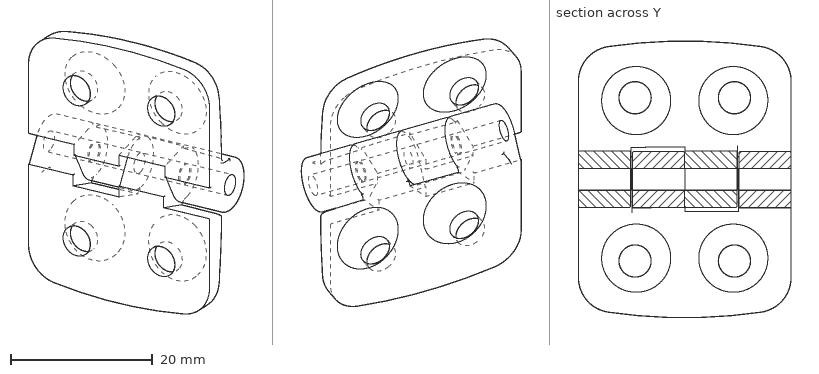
import cadquery as cq
import math

leaf_width = 30.0
half_width = leaf_width / 2
leaf_reach = 19.5
end_radius = 75.0
corner_radius = 5.0

crown_height = 5.1
crown_start = 4.0
crown_radius_along = 85.0
crown_radius_across = 210.0
side_round = 2.0
end_round = 1.0
blend_sweep = math.radians(16)

hole_diameter = 4.5
countersink_angle = math.radians(90)
shank_length = 2.0
hole_offset_x = 7.0
hole_offset_z = 11.5

knuckle_radius = 4.0
axis_height = 5.5
bore_diameter = 3.0
knuckle_gap = 0.2
knuckle_width = (half_width - knuckle_gap) / 2
flank_angle = math.radians(30)
knuckle_edge_round = 0.3
root_fillet = 0.45

pocket_clearance = 0.5
pocket_edge_round = 0.2
pocket_angle = math.radians(15)

tangent_y = axis_height - knuckle_radius * math.cos(flank_angle)
tangent_z = knuckle_radius * math.sin(flank_angle)
heel_z = tangent_z - tangent_y / math.tan(flank_angle)

pocket_radius = knuckle_radius + pocket_clearance
pocket_foot = pocket_radius / math.cos(pocket_angle) - axis_height * math.tan(pocket_angle)

corner_x = half_width - corner_radius
bow_angle = math.asin(corner_x / (end_radius - corner_radius))
corner_z = end_radius - leaf_reach - (end_radius - corner_radius) * math.cos(bow_angle)
corner_sweep = math.pi / 2 - bow_angle

pocket_width = half_width - knuckle_width
knuckle_starts = (-half_width, 0.0)
pocket_starts = (-half_width + knuckle_width, knuckle_width)


def corner_point(angle, side):
    """Point on a rounded corner, swept by angle from the straight side edge."""
    x = corner_x + corner_radius * math.cos(angle)
    z = corner_z - corner_radius * math.sin(angle)
    return side * x, z


def make_plate():
    """Plate with a bowed free end and a domed face, still with sharp outer edges."""
    first_middle = blend_sweep / 2
    second_middle = (blend_sweep + corner_sweep) / 2

    outline = (
        cq.Workplane("XZ")
        .moveTo(-half_width, heel_z)
        .lineTo(-half_width, corner_z)
        .threePointArc(corner_point(first_middle, -1), corner_point(blend_sweep, -1))
        .threePointArc(corner_point(second_middle, -1), corner_point(corner_sweep, -1))
        .threePointArc((0, -leaf_reach), corner_point(corner_sweep, 1))
        .threePointArc(corner_point(second_middle, 1), corner_point(blend_sweep, 1))
        .threePointArc(corner_point(first_middle, 1), (half_width, corner_z))
        .lineTo(half_width, heel_z)
        .close()
        .extrude(-2 * crown_height)
    )

    dome_half = leaf_width
    dome_edge = crown_height - crown_radius_across + math.sqrt(crown_radius_across**2 - dome_half**2)
    axis_y = crown_height - crown_radius_along
    dome = (
        cq.Workplane("XY", origin=(0, 0, -crown_start))
        .moveTo(-dome_half, axis_y)
        .lineTo(-dome_half, dome_edge)
        .threePointArc((0, crown_height), (dome_half, dome_edge))
        .lineTo(dome_half, axis_y)
        .close()
        .revolve(360, (0, axis_y), (1, axis_y))
    )
    return outline.intersect(dome)


def round_outer_edges(plate):
    """Round the domed face: side_round along the sides, shrinking to end_round in the corners."""
    blend_z = corner_point(blend_sweep, 1)[1]
    rounding = cq.occ_impl.shapes.BRepFilletAPI_MakeFillet(plate.val().wrapped)
    edges = plate.faces(">Y").edges("not >Z").vals()
    for edge in edges:
        if edge.positionAt(0.5).z < blend_z:
            rounding.Add(end_round, edge.wrapped)

    chain_start = cq.Vertex(rounding.FirstVertex(1))
    for edge in edges:
        middle = edge.positionAt(0.5)
        if middle.z > corner_z:
            rounding.Add(side_round, edge.wrapped)
        elif middle.z > blend_z:
            leaves_side = middle.x * chain_start.X > 0
            first, last = (side_round, end_round) if leaves_side else (end_round, side_round)
            rounding.Add(first, last, edge.wrapped)
    return cq.Workplane(cq.Shape.cast(rounding.Shape()))


def make_knuckle(start, width):
    """Sharp-edged barrel with a flat flank and a straight underside that runs into the plate."""
    return (
        cq.Workplane("YZ", origin=(start, 0, 0))
        .moveTo(0, heel_z)
        .lineTo(tangent_y, tangent_z)
        .threePointArc((axis_height + knuckle_radius, 0), (axis_height, -knuckle_radius))
        .lineTo(0, -knuckle_radius)
        .close()
        .extrude(width)
    )


def make_rim_waste(start):
    """Material removed to round both rims of a knuckle, from the flank around to the underside."""
    barrel = (
        cq.Workplane("YZ", origin=(start, 0, 0))
        .moveTo(0, heel_z)
        .lineTo(tangent_y, tangent_z)
        .threePointArc((axis_height + knuckle_radius, 0), (axis_height, -knuckle_radius))
        .lineTo(axis_height, heel_z)
        .close()
        .extrude(knuckle_width)
    )
    rims = cq.selectors.BoxSelector(
        (start - 1, tangent_y / 4, heel_z + 0.1),
        (start + knuckle_width + 1, leaf_reach, leaf_reach),
    )
    flank_and_barrel = barrel.faces("<X or >X").edges(rims)
    return barrel.cut(flank_and_barrel.fillet(knuckle_edge_round))


def make_pocket(start):
    """Cutter with a sloped wall that clears a knuckle of the other leaf."""
    top = 2 * crown_height
    return (
        cq.Workplane("YZ", origin=(start, 0, 0))
        .moveTo(0, -pocket_foot)
        .lineTo(top, -pocket_foot - top * math.tan(pocket_angle))
        .lineTo(top, knuckle_radius)
        .lineTo(0, knuckle_radius)
        .close()
        .extrude(pocket_width)
    )


def add_knuckles(leaf):
    """Join the knuckles to the plate with a small fillet along the domed face."""
    overhang = 1.0
    leaf = leaf.union(make_knuckle(-half_width - overhang, knuckle_width + overhang))
    leaf = leaf.union(make_knuckle(0, knuckle_width))
    tolerance = 0.05
    roots = cq.selectors.BoxSelector(
        (-half_width - tolerance, tolerance, -knuckle_radius - tolerance),
        (half_width, crown_height + tolerance, -knuckle_radius + tolerance),
        boundingbox=True,
    )
    leaf = leaf.edges(roots).fillet(root_fillet)
    trim = cq.Workplane("XY").box(overhang, 4 * axis_height, 4 * axis_height)
    return leaf.cut(trim.translate((-half_width - overhang / 2, 0, 0)))


def make_screw_hole(x):
    """Cutter for a through hole with a countersink opening on the domed face."""
    top = 2 * crown_height
    top_radius = hole_diameter / 2 + (top - shank_length) * math.tan(countersink_angle / 2)
    return (
        cq.Workplane("XY", origin=(x, 0, -hole_offset_z))
        .lineTo(hole_diameter / 2, 0)
        .lineTo(hole_diameter / 2, shank_length)
        .lineTo(top_radius, top)
        .lineTo(0, top)
        .close()
        .revolve(360, (0, 0), (0, 1))
    )


def make_leaf():
    """One complete leaf, free end toward -z."""
    leaf = round_outer_edges(make_plate())
    for start in pocket_starts:
        leaf = leaf.cut(make_pocket(start))
    pocket_corner = cq.selectors.NearestToPointSelector((half_width, 1, -pocket_foot))
    leaf = leaf.edges(pocket_corner).fillet(pocket_edge_round)
    leaf = add_knuckles(leaf)
    for start in knuckle_starts:
        leaf = leaf.cut(make_rim_waste(start))
    for side in (-1, 1):
        leaf = leaf.cut(make_screw_hole(side * hole_offset_x))
    bore = cq.Workplane("YZ", origin=(-half_width, axis_height, 0)).circle(bore_diameter / 2)
    return leaf.cut(bore.extrude(leaf_width))


leaf = make_leaf()
result = cq.Compound.makeCompound([leaf.val(), leaf.rotate((0, 0, 0), (0, 1, 0), 180).val()])